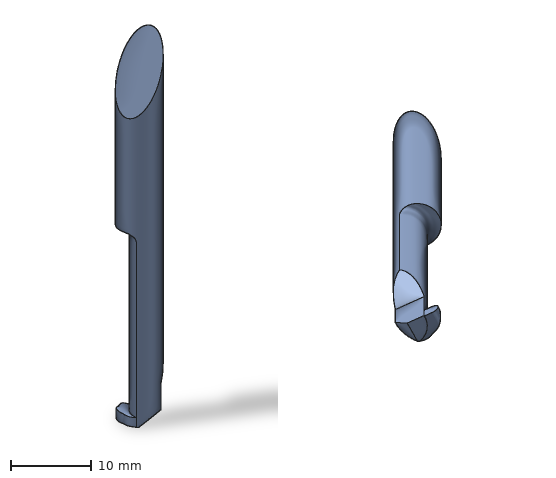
import cadquery as cq
import math

length = 52.45
shank_radius = 3.0
bevel_slope = math.tan(math.radians(60))
shoulder_z = 26.5

neck_edge_x = 1.05
neck_edge_y = math.sqrt(shank_radius**2 - neck_edge_x**2)
neck_left_x = -1.05
neck_bottom_z = 0.15
shoulder_fillet = 1.1

rake_y = 0.15
relief_z = 5.4
corner_chamfer = 1.85

tip_height = 1.7
clearance_angle = 3.5
nose_x = -shank_radius
flank_mid = (-2.3, -1.7)
heel_x = -0.85
heel_y = -2.55
heel_mid = (0.25, -2.95)

margin = 2.6
outside = shank_radius + margin


def neck_cutter():
    """Space around the -X side of the neck, with a filleted top edge along the neck arc."""
    arc_sag = neck_edge_x - neck_left_x
    neck_radius = (arc_sag**2 + neck_edge_y**2) / (2 * arc_sag)
    center_x = neck_left_x + neck_radius
    cutter_height = shoulder_z + margin
    space = cq.Workplane("XY", origin=(0, 0, -margin)).rect(4 * outside, 4 * outside).extrude(cutter_height)
    flare_z = shoulder_z - shoulder_fillet
    flare_radius = neck_radius + shoulder_fillet
    mid_radius = flare_radius - shoulder_fillet * math.cos(math.pi / 4)
    mid_z = flare_z + shoulder_fillet * math.sin(math.pi / 4)
    core = (
        cq.Workplane("XZ")
        .moveTo(0, -margin)
        .lineTo(neck_radius, -margin)
        .lineTo(neck_radius, flare_z)
        .threePointArc((mid_radius, mid_z), (flare_radius, shoulder_z))
        .lineTo(0, shoulder_z)
        .close()
        .revolve(360, (0, 0), (0, 1))
        .translate((center_x, 0, 0))
    )
    kept_side = (
        cq.Workplane("XY", origin=(0, 0, -margin))
        .center(neck_edge_x + 2 * outside, 0)
        .rect(4 * outside, 4 * outside)
        .extrude(cutter_height)
    )
    return space.cut(core).cut(kept_side)


def bevel_cutter():
    """Wedge above the sloping top face."""
    low_z = length - 2 * shank_radius * bevel_slope
    return (
        cq.Workplane("YZ")
        .polyline([
            (-outside, low_z - margin * bevel_slope),
            (outside, length + margin * bevel_slope),
            (-outside, length + margin * bevel_slope),
        ])
        .close()
        .extrude(outside, both=True)
    )


def relief_cutter():
    """Flat rake-side relief that slopes out to the neck surface."""
    return (
        cq.Workplane("YZ")
        .polyline([
            (rake_y, -margin),
            (rake_y, relief_z),
            (outside, relief_z + (outside - rake_y) * bevel_slope),
            (outside, -margin),
        ])
        .close()
        .extrude(outside, both=True)
    )


def corner_cutter():
    """45 degree wedge under the lower +X corner."""
    return (
        cq.Workplane("XZ")
        .polyline([
            (shank_radius - corner_chamfer - margin, -margin),
            (outside, corner_chamfer + margin),
            (outside, -margin),
        ])
        .close()
        .extrude(outside, both=True)
    )


def make_shank():
    blank = cq.Workplane("XY", origin=(0, 0, neck_bottom_z)).circle(shank_radius).extrude(length - neck_bottom_z)
    return blank.cut(bevel_cutter()).cut(neck_cutter()).cut(relief_cutter()).cut(corner_cutter())


def make_tip():
    """Round-nosed cutting edge lapped around the lower end of the neck."""
    footprint = (
        cq.Workplane("XY")
        .moveTo(nose_x, rake_y)
        .threePointArc(flank_mid, (heel_x, heel_y))
        .threePointArc(heel_mid, (neck_edge_x, -neck_edge_y))
        .lineTo(neck_edge_x, rake_y)
        .close()
        .extrude(tip_height)
    )
    nose_radius = tip_height / 2
    profile = (
        cq.Workplane("XZ", origin=(0, rake_y, 0))
        .moveTo(outside, 0)
        .lineTo(nose_x + nose_radius, 0)
        .threePointArc((nose_x, nose_radius), (nose_x + nose_radius, tip_height))
        .lineTo(outside, tip_height)
        .close()
        .extrude(shank_radius + rake_y, taper=clearance_angle)
    )
    return footprint.intersect(profile).intersect(neck_cutter())


shank = make_shank()
tip = make_tip()

result = cq.Compound.makeCompound([shank.solids().val(), tip.solids().val()])